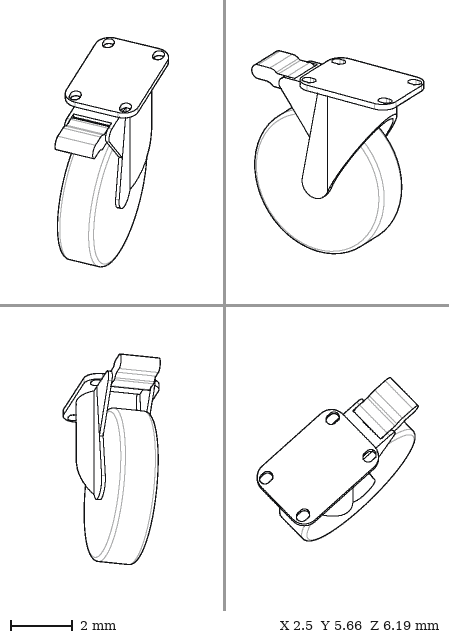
import cadquery as cq
import math


wheel_radius = 2.5
wheel_width = 1.25
wheel_edge_fillet = 0.125

plate_width = 2.5
plate_length = 3.615
plate_thickness = 0.2
plate_corner_radius = 0.5
plate_front = -0.5
plate_center_y = plate_front + plate_length / 2
overall_height = 6.19
plate_top = overall_height - wheel_radius
plate_bottom = plate_top - plate_thickness
slot_width = 0.345
slot_length = 0.465
slot_x = 0.87
slot_edge_inset = 0.335

wall = 0.125
leg_inner_x = 0.655
leg_outer_x = leg_inner_x + wall
housing_radius = 1.13
fork_tip_radius = 0.5
fork_back_y = plate_center_y + housing_radius
fork_back_z = 2.73
fork_front_y = 0.15

bracket_nose_radius = 0.25
bracket_nose_y = -1.15
bracket_nose_z = plate_bottom - bracket_nose_radius
bracket_low_z = 1.615
roof_end_y = -0.86

pedal_thickness = 2 * bracket_nose_radius
pedal_step = 0.13
pedal_end_y = -2.54
pedal_tip_y = pedal_end_y + pedal_thickness / 2
pedal_top_step_y = -1.5
pedal_bottom_step_y = -1.65
step_slope = math.radians(43)
step_inner_radius = 0.13


def tangent_point(point, center, radius, side):
    """Where the line from a point touches a circle; side +1 is counterclockwise from the point."""
    dy = point[0] - center[0]
    dz = point[1] - center[1]
    angle = math.atan2(dz, dy) + side * math.acos(radius / math.hypot(dy, dz))
    return (center[0] + radius * math.cos(angle), center[1] + radius * math.sin(angle))


def extrude_across(outline, half_width):
    """Extrude a YZ outline symmetrically along X."""
    return outline.close().extrude(half_width, both=True)


def box_between(half_width, y_min, y_max, z_min, z_max):
    """A block centred on X = 0."""
    size = (2 * half_width, y_max - y_min, z_max - z_min)
    block = cq.Workplane("XY").box(*size, centered=(True, False, False))
    return block.translate((0, y_min, z_min))


fork_front_top = (fork_front_y, plate_bottom)
fork_front_tangent = tangent_point(fork_front_top, (0, 0), fork_tip_radius, 1)


def make_wheel():
    disc = cq.Workplane("YZ", origin=(-wheel_width / 2, 0, 0)).circle(wheel_radius).extrude(wheel_width)
    return disc.edges("%CIRCLE").fillet(wheel_edge_fillet)


def make_plate():
    plate = (
        cq.Workplane("XY", origin=(0, plate_center_y, plate_bottom))
        .rect(plate_width, plate_length)
        .extrude(plate_thickness)
        .edges("|Z")
        .fillet(plate_corner_radius)
    )
    slot_spacing_y = plate_length - 2 * slot_edge_inset
    slots = (
        cq.Workplane("XY", origin=(0, plate_center_y, plate_bottom))
        .rect(2 * slot_x, slot_spacing_y, forConstruction=True)
        .vertices()
        .slot2D(slot_length, slot_width, 90)
        .extrude(plate_thickness)
    )
    return plate.cut(slots)


def fork_column(radius, half_width):
    """Round housing joined to a straight-sided block that reaches past the leg tips."""
    bottom = -fork_tip_radius
    cylinder = (
        cq.Workplane("XY", origin=(0, plate_center_y, bottom))
        .circle(radius)
        .extrude(plate_bottom - bottom)
    )
    return cylinder.union(box_between(half_width, -fork_tip_radius, plate_center_y, bottom, plate_bottom))


def make_fork():
    back_low = (fork_back_y, fork_back_z)
    back_tangent = tangent_point(back_low, (0, 0), fork_tip_radius, -1)
    side_outline = (
        cq.Workplane("YZ")
        .moveTo(*fork_front_top)
        .lineTo(fork_back_y, plate_bottom)
        .lineTo(*back_low)
        .lineTo(*back_tangent)
        .threePointArc((0, -fork_tip_radius), fork_front_tangent)
    )
    side_profile = extrude_across(side_outline, housing_radius)
    shell = fork_column(housing_radius, leg_outer_x).cut(fork_column(housing_radius - wall, leg_inner_x))
    return shell.intersect(side_profile)


def make_bracket():
    edge_slope = (fork_front_y - fork_front_tangent[0]) / (plate_bottom - fork_front_tangent[1])
    low_corner = (fork_front_y - edge_slope * (plate_bottom - bracket_low_z), bracket_low_z)
    nose_center = (bracket_nose_y, bracket_nose_z)
    nose_tangent = tangent_point(low_corner, nose_center, bracket_nose_radius, -1)
    outline = (
        cq.Workplane("YZ")
        .moveTo(*fork_front_top)
        .lineTo(bracket_nose_y, plate_bottom)
        .threePointArc((bracket_nose_y - bracket_nose_radius, bracket_nose_z), nose_tangent)
        .lineTo(*low_corner)
    )
    body = extrude_across(outline, leg_outer_x)
    nose_front = bracket_nose_y - bracket_nose_radius
    below_roof = box_between(leg_inner_x, nose_front, fork_front_y, bracket_low_z, plate_bottom - wall)
    pedal_opening = box_between(leg_inner_x, nose_front, roof_end_y, bracket_low_z, plate_bottom)
    return body.cut(below_roof).cut(pedal_opening)


def add_step(outline, start, first_radius, second_radius, rise):
    """Two tangent arcs climbing by rise: toward -Y for rise > 0, toward +Y for rise < 0."""
    direction = math.copysign(1, rise)
    half = step_slope / 2
    sine = math.sin(step_slope)
    cosine = math.cos(step_slope)
    y, z = start
    middle = (y - direction * first_radius * sine, z + direction * first_radius * (1 - cosine))
    end = (middle[0] - direction * second_radius * sine, z + rise)
    first_mid = (
        y - direction * first_radius * math.sin(half),
        z + direction * first_radius * (1 - math.cos(half)),
    )
    second_mid = (
        end[0] + direction * second_radius * math.sin(half),
        end[1] - direction * second_radius * (1 - math.cos(half)),
    )
    return outline.threePointArc(first_mid, middle).threePointArc(second_mid, end)


def make_pedal():
    pivot_top = plate_bottom
    pivot_bottom = pivot_top - pedal_thickness
    tread_top = pivot_top + pedal_step
    tread_bottom = pivot_bottom + pedal_step
    step_outer_radius = pedal_step / (1 - math.cos(step_slope)) - step_inner_radius
    step_run = (step_inner_radius + step_outer_radius) * math.sin(step_slope)
    outline = cq.Workplane("YZ").moveTo(bracket_nose_y, pivot_top).lineTo(pedal_top_step_y, pivot_top)
    top_step_start = (pedal_top_step_y, pivot_top)
    outline = add_step(outline, top_step_start, step_inner_radius, step_outer_radius, pedal_step)
    outline = outline.lineTo(pedal_tip_y, tread_top).threePointArc(
        (pedal_end_y, (tread_top + tread_bottom) / 2), (pedal_tip_y, tread_bottom)
    )
    bottom_step_start = (pedal_bottom_step_y - step_run, tread_bottom)
    outline = outline.lineTo(*bottom_step_start)
    outline = add_step(outline, bottom_step_start, step_outer_radius, step_inner_radius, -pedal_step)
    outline = outline.lineTo(bracket_nose_y, pivot_bottom).threePointArc(
        (bracket_nose_y + pedal_thickness / 2, bracket_nose_z), (bracket_nose_y, pivot_top)
    )
    return extrude_across(outline, leg_inner_x)


wheel = make_wheel()
plate = make_plate()
fork = make_fork()
bracket = make_bracket()
pedal = make_pedal()

bodies = [wheel, plate, fork, bracket, pedal]
result = cq.Compound.makeCompound([body.solids().val() for body in bodies])